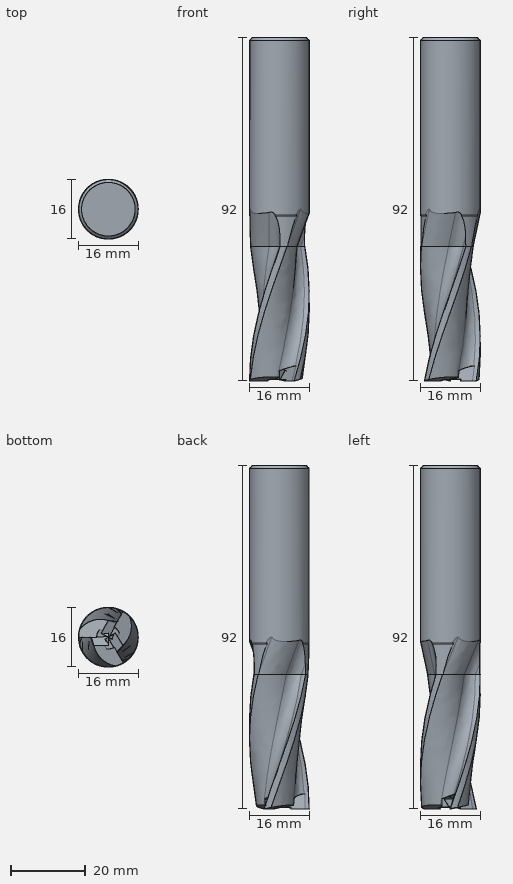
import cadquery as cq
import math

overall_length = 92.0
tool_radius = 8.0
top_chamfer = 0.8

joint_height = 36.1
neck_top = 44.5
neck_radius = 7.9
neck_chamfer = 0.3

clear_radius = 18.4
clear_depth = 0.9

tooth_count = 3
tooth_pitch = 360.0 / tooth_count
helix_angle = 19.6
land_width = 13.4
land_end_angle = 284.8
rake_depth = 1.3
heel_radius = 4.6
heel_angle = 69.0
back_bulge = 1.1
gullet_bulge = 0.7

runout_outward = 0.34
runout_sideways = 0.25
runout_height = 14.7
lip_length = 2.6
lip_angle = -58.0

relief_angle = 13.0
gash_wall_height = 4.05
gash_mouth_height = 2.8
gash_width = 2.2
gash_lean = 17.0
end_recess_radius = 3.1
end_recess_depth = 0.5

lead = 2 * math.pi * tool_radius / math.tan(math.radians(helix_angle))
cutter_twist = 360.0 * joint_height / lead
cutting_edge_angle = land_end_angle - land_width - cutter_twist


def polar(radius, angle):
    """Point at a radius and an angle in degrees."""
    return (radius * math.cos(math.radians(angle)), radius * math.sin(math.radians(angle)))


def next_edge_angle(land_end):
    """Angle of the cutting edge that follows the land ending at land_end."""
    return land_end + tooth_pitch - land_width


def bowed_midpoint(start, end, bulge):
    """Middle of a chord moved sideways by bulge; positive is to the right of start-to-end."""
    dx = end[0] - start[0]
    dy = end[1] - start[1]
    chord = math.hypot(dx, dy)
    return (
        (start[0] + end[0]) / 2 + bulge * dy / chord,
        (start[1] + end[1]) / 2 - bulge * dx / chord,
    )


def add_flute(outline, land_end):
    """Draw tooth back, gullet and rake face, from one land to the next cutting edge."""
    start = polar(tool_radius, land_end)
    heel = polar(heel_radius, land_end + heel_angle)
    next_edge = next_edge_angle(land_end)
    rake_foot = polar(tool_radius - rake_depth, next_edge)
    outline = outline.threePointArc(bowed_midpoint(start, heel, back_bulge), heel)
    outline = outline.threePointArc(bowed_midpoint(heel, rake_foot, -gullet_bulge), rake_foot)
    return outline.lineTo(*polar(tool_radius, next_edge))


def make_section(first_land_end):
    """Closed cross-section of the cutter, with the first land ending at first_land_end."""
    outline = cq.Workplane("XY").moveTo(*polar(tool_radius, first_land_end))
    for tooth in range(tooth_count):
        land_end = first_land_end + tooth * tooth_pitch
        next_land_end = land_end + tooth_pitch
        outline = add_flute(outline, land_end)
        outline = outline.threePointArc(
            polar(tool_radius, next_land_end - land_width / 2),
            polar(tool_radius, next_land_end),
        )
    return outline.close()


def make_end_relief(edge_angle):
    """Sector below a plane that rises backwards from one end cutting edge."""
    rise = clear_radius * math.tan(math.radians(relief_angle))
    wedge = (
        cq.Workplane("XZ")
        .polyline([(0, 0), (clear_radius, rise), (clear_radius, -clear_depth), (0, -clear_depth)])
        .close()
        .extrude(clear_radius, both=True)
        .rotate((0, 0, 0), (0, 0, 1), 90)
    )
    sector = (
        cq.Workplane("XY", origin=(0, 0, -clear_depth))
        .polyline([
            (0, 0),
            polar(clear_radius, 0),
            polar(clear_radius, tooth_pitch / 2),
            polar(clear_radius, tooth_pitch),
        ])
        .close()
        .extrude(clear_depth + rise)
    )
    return wedge.intersect(sector).rotate((0, 0, 0), (0, 0, 1), edge_angle)


def make_gash(edge_angle):
    """Notch in front of one end cutting edge, with a leaning wall and a roof that rises towards it."""
    wall_shift = gash_wall_height * math.tan(math.radians(gash_lean))
    return (
        cq.Workplane("YZ")
        .polyline([
            (0, 0),
            (wall_shift, gash_wall_height),
            (-gash_width, gash_mouth_height),
            (-gash_width, 0),
        ])
        .close()
        .extrude(clear_radius)
        .rotate((0, 0, 0), (0, 0, 1), edge_angle)
    )


def make_cutter():
    """Helical fluted body with ground end teeth."""
    body = make_section(land_end_angle - cutter_twist).twistExtrude(joint_height, cutter_twist)
    for tooth in range(tooth_count):
        edge_angle = cutting_edge_angle + tooth * tooth_pitch
        body = body.cut(make_end_relief(edge_angle))
        body = body.cut(make_gash(edge_angle))
    recess = cq.Workplane("XY").circle(end_recess_radius).extrude(end_recess_depth)
    return body.cut(recess)


def make_runout(land_end):
    """Slanted prism that carries one flute out through the neck."""
    next_edge = next_edge_angle(land_end)
    lip_start = polar(tool_radius, land_end)
    lip_offset = polar(lip_length, land_end + lip_angle)
    lip_end = (lip_start[0] + lip_offset[0], lip_start[1] + lip_offset[1])
    outline = cq.Workplane("XY", origin=(0, 0, joint_height)).moveTo(*lip_end).lineTo(*lip_start)
    outline = add_flute(outline, land_end)
    outline = outline.lineTo(*polar(clear_radius, next_edge)).lineTo(*polar(clear_radius, land_end))
    heel = land_end + heel_angle
    outward = polar(runout_outward * runout_height, heel)
    sideways = polar(runout_sideways * runout_height, heel + 90)
    travel = cq.Vector(outward[0] + sideways[0], outward[1] + sideways[1], runout_height)
    return cq.Workplane(cq.Solid.extrudeLinear(outline.close().val(), [], travel))


def make_shank():
    """Plain shank with a slightly smaller neck, cut by the flute run-outs."""
    body = (
        cq.Workplane("XZ")
        .polyline([
            (0, joint_height),
            (neck_radius, joint_height),
            (neck_radius, neck_top - neck_chamfer),
            (tool_radius, neck_top),
            (tool_radius, overall_length - top_chamfer),
            (tool_radius - top_chamfer, overall_length),
            (0, overall_length),
        ])
        .close()
        .revolve(360, (0, 0), (0, 1))
    )
    for tooth in range(tooth_count):
        body = body.cut(make_runout(land_end_angle + tooth * tooth_pitch))
    return body


cutter = make_cutter()
shank = make_shank()
result = cq.Compound.makeCompound([cutter.val(), shank.val()])